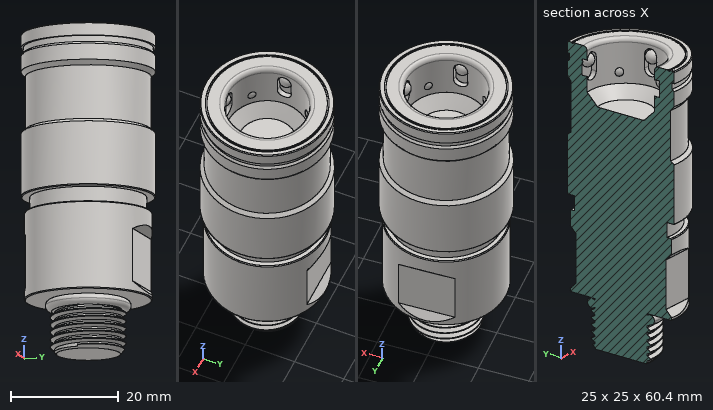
import cadquery as cq
import math

HEIGHT = 60.35
EDGE_BREAK = 0.2

SLEEVE_RADIUS = 12.5
RIM_BOTTOM = 57.9
RING_GROOVE_RADIUS = 12.1
RING_GROOVE_BOTTOM = 56.7
RING_GROOVE_SLOPE = 0.4
COLLAR_BOTTOM = 53.3
COLLAR_CHAMFER_HEIGHT = 0.9
GRIP_RADIUS = 11.7
GRIP_BOTTOM = 42.25
SLEEVE_SHOULDER = 41.65
SLEEVE_BOTTOM = 29.6

NECK_RADIUS = 10.85
BODY_RADIUS = 11.9
BODY_TOP = 26.7
BODY_BOTTOM = 10.15

FLAT_OFFSET = 10.5
FLAT_TOP = 22.1
FLAT_BOTTOM = 12.15

SEAL_OUTER_RADIUS = 7.95
SEAL_SECTION_RADIUS = 1.0

THREAD_RADIUS = 7.05
THREAD_ROOT_RADIUS = 6.3
THREAD_TURNS = 6
THREAD_LENGTH = 8.45
THREAD_PITCH = THREAD_LENGTH / THREAD_TURNS
THREAD_CREST_WIDTH = 0.2
THREAD_BASE_WIDTH = 1.3
THREAD_START = 0.2
THREAD_EMBED = 0.2
STEM_TIP_RADIUS = 6.0
STEM_CHAMFER_HEIGHT = 1.2

BORE_RADIUS = 7.9
LIP_RADIUS = 0.9
BORE_DEPTH = 9.2
SOCKET_FLOOR_RADIUS = 5.55
SOCKET_CONE_HEIGHT = BORE_RADIUS - SOCKET_FLOOR_RADIUS

JOINT_INNER_RADIUS = 11.15
JOINT_OUTER_RADIUS = 11.45
JOINT_DEPTH = 0.2

BALL_RADIUS = 1.4
SLOT_WIDTH = 2 * BALL_RADIUS
SLOT_LENGTH = 5.55
SLOT_TOP_DEPTH = 1.6
SLOT_FLOOR_RADIUS = 8.95
SLOT_BALL_PROTRUSIONS = (0.9, 0.5, 0.4, 0.4)
SLOT_BALL_DEPTH = 3.3
DETENT_BALL_PROTRUSION = 0.3
DETENT_BALL_DEPTH = 6.9


def make_outer_shape():
    """Turned outside from the underside of the body to the top rim."""
    profile = [
        (0, BODY_BOTTOM),
        (BODY_RADIUS - EDGE_BREAK, BODY_BOTTOM),
        (BODY_RADIUS, BODY_BOTTOM + EDGE_BREAK),
        (BODY_RADIUS, BODY_TOP - EDGE_BREAK),
        (BODY_RADIUS - EDGE_BREAK, BODY_TOP),
        (NECK_RADIUS, BODY_TOP),
        (NECK_RADIUS, SLEEVE_BOTTOM),
        (SLEEVE_RADIUS - EDGE_BREAK, SLEEVE_BOTTOM),
        (SLEEVE_RADIUS, SLEEVE_BOTTOM + EDGE_BREAK),
        (SLEEVE_RADIUS, SLEEVE_SHOULDER),
        (GRIP_RADIUS, GRIP_BOTTOM),
        (GRIP_RADIUS, COLLAR_BOTTOM - COLLAR_CHAMFER_HEIGHT),
        (SLEEVE_RADIUS, COLLAR_BOTTOM),
        (SLEEVE_RADIUS, RING_GROOVE_BOTTOM - RING_GROOVE_SLOPE),
        (RING_GROOVE_RADIUS, RING_GROOVE_BOTTOM),
        (RING_GROOVE_RADIUS, RIM_BOTTOM),
        (SLEEVE_RADIUS, RIM_BOTTOM),
        (SLEEVE_RADIUS, HEIGHT - EDGE_BREAK),
        (SLEEVE_RADIUS - EDGE_BREAK, HEIGHT),
        (0, HEIGHT),
    ]
    return cq.Workplane("XZ").polyline(profile).close().revolve()


def make_flat_cutter():
    """Trapezoid prism that leaves a wrench flat on the -Y side."""
    reach = SLEEVE_RADIUS
    ramp = reach - FLAT_OFFSET
    outline = [
        (-FLAT_OFFSET, FLAT_BOTTOM),
        (-FLAT_OFFSET, FLAT_TOP),
        (-reach, FLAT_TOP + ramp),
        (-reach, FLAT_BOTTOM - ramp),
    ]
    return cq.Workplane("YZ").polyline(outline).close().extrude(SLEEVE_RADIUS, both=True)


def make_socket_cutter():
    """Bore with a rounded lip and a conical end."""
    bore_end = HEIGHT - BORE_DEPTH
    lip_sag = LIP_RADIUS * (1 - math.sqrt(0.5))
    return (
        cq.Workplane("XZ")
        .moveTo(0, HEIGHT)
        .lineTo(BORE_RADIUS + LIP_RADIUS, HEIGHT)
        .threePointArc((BORE_RADIUS + lip_sag, HEIGHT - lip_sag), (BORE_RADIUS, HEIGHT - LIP_RADIUS))
        .lineTo(BORE_RADIUS, bore_end)
        .lineTo(SOCKET_FLOOR_RADIUS, bore_end - SOCKET_CONE_HEIGHT)
        .lineTo(0, bore_end - SOCKET_CONE_HEIGHT)
        .close()
        .revolve()
    )


def make_joint_groove():
    """Thin ring cut into the top face."""
    return (
        cq.Workplane("XY", origin=(0, 0, HEIGHT - JOINT_DEPTH))
        .circle(JOINT_OUTER_RADIUS)
        .circle(JOINT_INNER_RADIUS)
        .extrude(JOINT_DEPTH)
    )


def make_slot_cutter():
    """Upright round-ended slot in the +X side of the bore wall."""
    middle = HEIGHT - SLOT_TOP_DEPTH - SLOT_LENGTH / 2
    return (
        cq.Workplane("YZ", origin=(0, 0, middle))
        .slot2D(SLOT_LENGTH, SLOT_WIDTH, 90)
        .extrude(SLOT_FLOOR_RADIUS)
    )


def make_ball(protrusion, depth):
    """Ball showing by `protrusion` through the +X side of the bore wall."""
    centre_radius = BORE_RADIUS + BALL_RADIUS - protrusion
    return cq.Workplane("XY").sphere(BALL_RADIUS).translate((centre_radius, 0, HEIGHT - depth))


def make_seal():
    """Round-section ring touching the underside of the body."""
    ring_radius = SEAL_OUTER_RADIUS - SEAL_SECTION_RADIUS
    section = cq.Workplane("XZ").center(ring_radius, BODY_BOTTOM - SEAL_SECTION_RADIUS)
    return section.circle(SEAL_SECTION_RADIUS).revolve(360, (-ring_radius, 0), (-ring_radius, 1))


def make_stem_core():
    """Plain round stem at the thread root, reaching a little into the body."""
    length = BODY_BOTTOM + EDGE_BREAK
    return cq.Workplane("XY").circle(THREAD_ROOT_RADIUS).extrude(length)


def make_thread_ridge():
    """Right-hand helical ridge with its base sunk into the stem core."""
    base_radius = THREAD_ROOT_RADIUS - THREAD_EMBED
    helix = cq.Workplane(cq.Wire.makeHelix(THREAD_PITCH, THREAD_LENGTH, base_radius))
    section = [
        (base_radius, -THREAD_BASE_WIDTH / 2),
        (THREAD_RADIUS, -THREAD_CREST_WIDTH / 2),
        (THREAD_RADIUS, THREAD_CREST_WIDTH / 2),
        (base_radius, THREAD_BASE_WIDTH / 2),
    ]
    ridge = cq.Workplane("XZ").polyline(section).close().sweep(helix, isFrenet=True)
    return ridge.translate((0, 0, THREAD_START))


def make_tip_cutter():
    """Everything below the base and outside the chamfer at the stem tip."""
    reach = BODY_RADIUS
    chamfer_slope = STEM_CHAMFER_HEIGHT / (THREAD_RADIUS - STEM_TIP_RADIUS)
    outline = [
        (0, 0),
        (STEM_TIP_RADIUS, 0),
        (reach, (reach - STEM_TIP_RADIUS) * chamfer_slope),
        (reach, -THREAD_PITCH),
        (0, -THREAD_PITCH),
    ]
    return cq.Workplane("XZ").polyline(outline).close().revolve()


def make_threaded_stem():
    """Stem core and thread with the chamfered tip."""
    return make_stem_core().union(make_thread_ridge()).cut(make_tip_cutter())


body = make_outer_shape()

flat_cutter = make_flat_cutter()
for angle in (0, 180):
    body = body.cut(flat_cutter.rotate((0, 0, 0), (0, 0, 1), angle))

body = body.cut(make_socket_cutter()).cut(make_joint_groove())

slot_cutter = make_slot_cutter()
detent_ball = make_ball(DETENT_BALL_PROTRUSION, DETENT_BALL_DEPTH)
ball_spacing = 360 / len(SLOT_BALL_PROTRUSIONS)
for index, protrusion in enumerate(SLOT_BALL_PROTRUSIONS):
    slot_ball = make_ball(protrusion, SLOT_BALL_DEPTH)
    slot_angle = index * ball_spacing
    detent_angle = slot_angle + ball_spacing / 2
    body = body.cut(slot_cutter.rotate((0, 0, 0), (0, 0, 1), slot_angle))
    body = body.union(slot_ball.rotate((0, 0, 0), (0, 0, 1), slot_angle))
    body = body.union(detent_ball.rotate((0, 0, 0), (0, 0, 1), detent_angle))

result = body.union(make_seal()).union(make_threaded_stem())